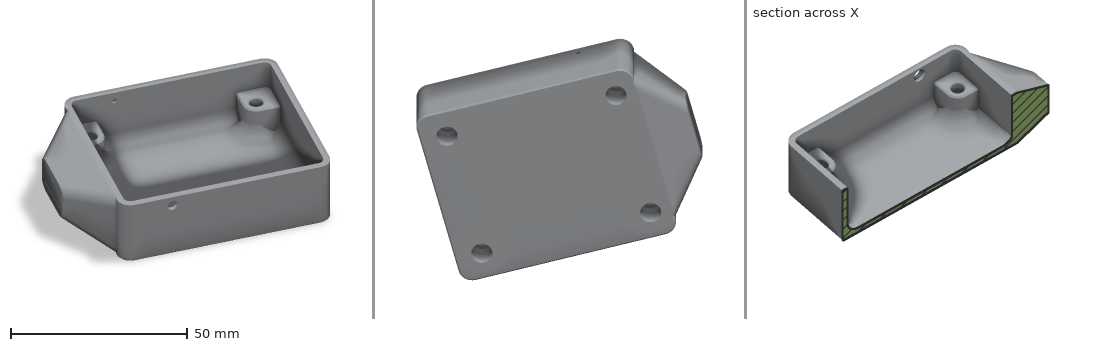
import cadquery as cq
import math

body_width = 53.75
overall_length = 75.2
body_height = 20.0
nose_length = 11.6
body_length = overall_length - nose_length
corner_radius = 4.0
wall = 1.95
inner_corner_radius = corner_radius - wall
floor_thickness = 1.95
floor_fillet = 4.0
front_undercut = 0.7
bottom_edge = 0.45

front_recess = 0.75
nose_root_y = wall
column_x = body_width / 2 - corner_radius
nose_base_width = body_width - 2 * corner_radius
tip_width = 18.6
tip_height = 10.8
tip_center_z = 10.6
nose_edge_fillet = 3.5
window_width = 13.0
window_height = 5.0
window_depth = 0.1

boss_top = 11.2
boss_radius = 4.0
boss_flare = 4.0
boss_edge = 0.45
boss_inset = 7.8
boss_x = body_width / 2 - boss_inset
boss_front_y = 6.25
boss_back_y = body_length - boss_inset
screw_hole = 4.0
screw_hole_edge = 0.4
screw_head = 6.0
screw_seat_z = 9.0

side_hole_y = 15.3
side_hole_z = 17.1
small_side_hole = 1.4
large_side_hole = 3.1
recess_diameter = 4.2
recess_depth = 1.1


def block(width, front, back, bottom, top):
    """Block centred on X between the given Y and Z limits."""
    size_y = back - front
    box = cq.Workplane("XY").box(width, size_y, top - bottom, centered=(True, False, False))
    return box.translate((0, front, bottom))


def make_body():
    """Rounded block whose two front corner columns stand proud of the front wall."""
    body = block(body_width, 0, body_length, 0, body_height)
    body = body.edges("|Z").fillet(corner_radius)
    body = body.cut(block(2 * column_x, 0, front_recess, 0, body_height))
    columns = (
        cq.Workplane("XY")
        .pushPoints([(-column_x, corner_radius), (column_x, corner_radius)])
        .circle(corner_radius)
        .extrude(body_height)
    )
    body = body.union(columns)
    return body.faces("<Z").edges().chamfer(bottom_edge)


def make_nose():
    """Frustum with rounded slanted edges, rooted through the front wall of the body."""
    side_slope = (nose_base_width - tip_width) / 2 / nose_length
    top_slope = (body_height - tip_center_z - tip_height / 2) / nose_length
    bottom_slope = (tip_center_z - tip_height / 2) / nose_length
    root_half_width = nose_base_width / 2 + side_slope * nose_root_y
    root_top = body_height + top_slope * nose_root_y
    root_bottom = -bottom_slope * nose_root_y
    plan = (
        cq.Workplane("XY", origin=(0, 0, root_bottom))
        .moveTo(-root_half_width, nose_root_y)
        .lineTo(-tip_width / 2, -nose_length)
        .lineTo(tip_width / 2, -nose_length)
        .lineTo(root_half_width, nose_root_y)
        .close()
        .extrude(root_top - root_bottom)
    )
    side = (
        cq.Workplane("YZ")
        .moveTo(nose_root_y, root_bottom)
        .lineTo(-nose_length, tip_center_z - tip_height / 2)
        .lineTo(-nose_length, tip_center_z + tip_height / 2)
        .lineTo(nose_root_y, root_top)
        .close()
        .extrude(root_half_width, both=True)
    )
    nose = plan.intersect(side).edges("not(|X or |Z)").fillet(nose_edge_fillet)
    nose = nose.intersect(block(body_width, -nose_length, nose_root_y, 0, body_height))
    window = (
        cq.Workplane("XZ", origin=(0, -nose_length, tip_center_z))
        .rect(window_width, window_height)
        .extrude(-window_depth)
    )
    return nose.cut(window)


def make_cavity():
    """Interior with a rounded floor edge, cut short by the flat front wall."""
    inner_width = body_width - 2 * wall
    inner_back = body_length - wall
    inner_top = body_height + floor_fillet
    prism = block(inner_width, wall, inner_back, floor_thickness, inner_top)
    prism = prism.edges("|Z").fillet(inner_corner_radius)
    rounded = block(inner_width, wall - front_undercut, inner_back, floor_thickness, inner_top)
    rounded = rounded.edges("<Z").fillet(floor_fillet)
    return prism.intersect(rounded)


def make_boss(x, y):
    """Round post with a flared foot, joined to its corner by a square block."""
    flare_top = floor_thickness + boss_flare
    flare = (
        cq.Workplane("XZ")
        .moveTo(0, 0)
        .lineTo(boss_radius + boss_flare, 0)
        .lineTo(boss_radius + boss_flare, floor_thickness)
        .radiusArc((boss_radius, flare_top), boss_flare)
        .lineTo(0, flare_top)
        .close()
        .revolve(360, (0, 0, 0), (0, 1, 0))
        .translate((x, y, 0))
    )
    side_x = math.copysign(1, x)
    side_y = math.copysign(1, y - body_length / 2)
    outer_x = side_x * (body_width - wall) / 2
    outer_y = body_length / 2 + side_y * (body_length - wall) / 2
    inner_x = x - side_x * boss_radius
    inner_y = y - side_y * boss_radius
    post = (
        cq.Workplane("XY")
        .center((outer_x + inner_x) / 2, (outer_y + inner_y) / 2)
        .rect(abs(outer_x - inner_x), abs(outer_y - inner_y))
        .extrude(boss_top)
        .edges("|Z")
        .edges(cq.NearestToPointSelector((inner_x, inner_y, boss_top / 2)))
        .fillet(boss_radius)
        .faces(">Z")
        .edges()
        .chamfer(boss_edge)
    )
    return flare.union(post)


def make_screw_hole(x, y):
    """Through hole with a chamfered mouth and a screw-head bore from below."""
    bore = cq.Workplane("XY").circle(screw_hole / 2).extrude(boss_top)
    head_bore = cq.Workplane("XY").circle(screw_head / 2).extrude(screw_seat_z)
    mouth = cq.Workplane("XY").add(
        cq.Solid.makeCone(
            screw_hole / 2,
            screw_hole / 2 + screw_hole_edge,
            screw_hole_edge,
            pnt=cq.Vector(0, 0, boss_top - screw_hole_edge),
        )
    )
    return bore.union(head_bore).union(mouth).translate((x, y, 0))


def make_side_hole(diameter, start_x, length):
    """Cylinder along +X at the height of the side holes."""
    plane = cq.Workplane("YZ", origin=(start_x, side_hole_y, side_hole_z))
    return plane.circle(diameter / 2).extrude(length)


outer_body = make_body()
result = outer_body.cut(make_cavity())

for hole_x in (-boss_x, boss_x):
    for hole_y in (boss_front_y, boss_back_y):
        boss = make_boss(hole_x, hole_y).intersect(outer_body)
        result = result.union(boss)
        result = result.cut(make_screw_hole(hole_x, hole_y))

result = result.union(make_nose())

inner_face_x = body_width / 2 - wall
result = result.cut(make_side_hole(small_side_hole, -body_width / 2, wall))
result = result.cut(make_side_hole(large_side_hole, inner_face_x, wall))
result = result.cut(make_side_hole(recess_diameter, inner_face_x, recess_depth))